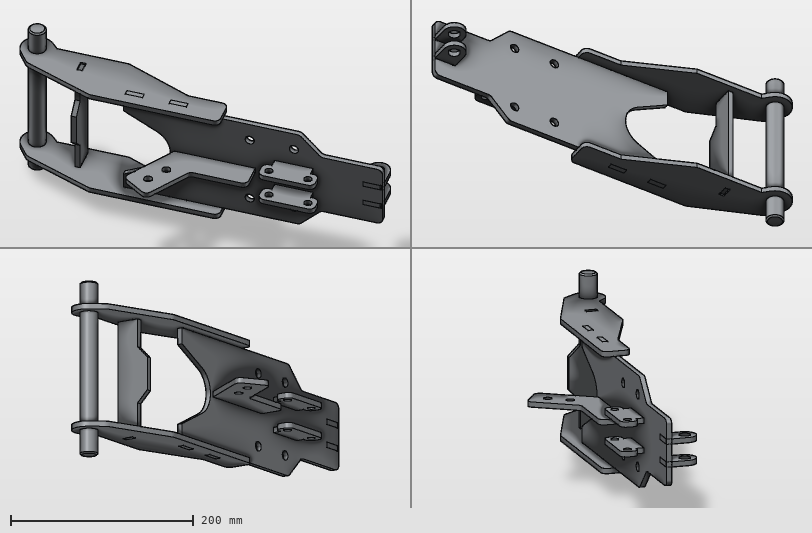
import cadquery as cq
import math


OVERALL_LENGTH = 432
PLATE = 6.0
CORNER_RADIUS = 7.0
BEND_RADIUS = 10.5
INNER_HALF = 63.0
OUTER_HALF = INNER_HALF + PLATE
SIDE_Z = INNER_HALF + PLATE / 2
TOLERANCE = 0.05

PIN_RADIUS = 10.0
PIN_LENGTH = 194.0
PIN_CHAMFER = 1.7

NOSE_RADIUS = 19.0
SHOULDER = (20.7, 6.0)
UPPER_BEND_X = 103.5
TAPER_END_X = 182.2
TAIL_TOP_Y = -25.5
TAIL_END_X = 228.5
SIDE_BOTTOM_Y = -58.0
CHIN = (-3.5, -26.8)
LOWER_BEND_X = 79.0

CROSS_X = 55.5
CROSS_TOP_Y = -1.7
CROSS_END_Y = -28.0
CROSS_MID_Y = -41.0
CROSS_END_HALF = 31.5
CROSS_MID_HALF = CROSS_END_HALF - (CROSS_END_Y - CROSS_MID_Y)
CROSS_TAB_Y = -14.5
CROSS_TAB_WIDTH = 13.0
CROSS_TAB_RECESS = 2.0

BASE_Y = -41.5
BASE_TOP_Y = BASE_Y + PLATE / 2
BASE_BOTTOM_Y = BASE_Y - PLATE / 2
BASE_START_X = 114.0
BASE_END_X = OVERALL_LENGTH - NOSE_RADIUS
MOUTH_HALF = 45.0
MOUTH_RADIUS = 28.5
MOUTH_CENTER_X = 139.5
NARROWING_X = 317.0
TAIL_HALF = 38.0
BASE_TAB_WIDTH = 20.0
BASE_TAB_XS = (126.0, 176.5)
BASE_HOLE_RADIUS = 5.0
BASE_HOLE_XS = (259.5, 310.5)
BASE_HOLE_Z = 41.0

ARM_ANGLE = math.radians(33)
ARM_HALF = 19.5
ARM_HOLE = (160.5, -99.0)
ARM_HOLE_SPACING = 25.5
ARM_HOLE_RADIUS = 4.7
ARM_END = 19.0
ARM_BOTTOM_Y = -73.5
ARM_END_X = 266.0

EAR_CENTER_X = 310.5
EAR_LENGTH = 64.8
EAR_NECK_LENGTH = 44.5
EAR_TOP_Y = -53.5
EAR_BOTTOM_Y = ARM_BOTTOM_Y
EAR_HOLE_SPACING = 45.0
EAR_HOLE_Y = -63.5
EAR_HOLE_RADIUS = 4.5
EAR_Z = 17.0

LUG_RADIUS = 13.0
LUG_X = BASE_END_X - LUG_RADIUS
LUG_Y = -19.5
LUG_HOLE_RADIUS = 6.5
LUG_TAB_WIDTH = 20.0
LUG_SLOT_PLAY = 1.7
LUG_Z = 13.0


def tangent_point(corner, center, radius, turn):
    """Point where a line from corner touches a circle, turn = +1 or -1 picking the side."""
    dx = corner[0] - center[0]
    dy = corner[1] - center[1]
    angle = math.atan2(dy, dx) + turn * math.acos(radius / math.hypot(dx, dy))
    return (center[0] + radius * math.cos(angle), center[1] + radius * math.sin(angle))


def round_corners(plate, axis, points, radius):
    """Round the edges parallel to axis ("Y" or "Z") that pass through the given points."""
    def at_corner(edge):
        center = edge.Center()
        across = center.y if axis == "Z" else center.z
        return any(math.hypot(center.x - u, across - v) < TOLERANCE for u, v in points)

    corners = [edge for edge in plate.edges("|" + axis).vals() if at_corner(edge)]
    return plate.newObject(corners).fillet(radius)


def block(x_size, y_size, z_size, center):
    return cq.Workplane("XY").box(x_size, y_size, z_size).translate(center)


def flat_plate(outline, z):
    """Extrude an XY outline to plate thickness, centred on height z."""
    return outline.extrude(PLATE / 2, both=True).translate((0, 0, z))


def holes_along_z(points, radius):
    return cq.Workplane("XY").pushPoints(points).circle(radius).extrude(OUTER_HALF, both=True)


def make_pin():
    pin = cq.Workplane("XY").circle(PIN_RADIUS).extrude(PIN_LENGTH)
    pin = pin.translate((0, 0, -PIN_LENGTH / 2))
    return pin.faces("<Z or >Z").chamfer(PIN_CHAMFER)


def make_cross_plate():
    outline = [
        (CROSS_TOP_Y, -INNER_HALF),
        (CROSS_TOP_Y, INNER_HALF),
        (CROSS_END_Y, INNER_HALF),
        (CROSS_END_Y, CROSS_END_HALF),
        (CROSS_MID_Y, CROSS_MID_HALF),
        (CROSS_MID_Y, -CROSS_MID_HALF),
        (CROSS_END_Y, -CROSS_END_HALF),
        (CROSS_END_Y, -INNER_HALF),
    ]
    plate = cq.Workplane("YZ").polyline(outline).close().extrude(PLATE / 2, both=True)
    plate = plate.translate((CROSS_X, 0, 0))
    tab_span = 2 * (OUTER_HALF - CROSS_TAB_RECESS)
    return plate.union(block(PLATE, CROSS_TAB_WIDTH, tab_span, (CROSS_X, CROSS_TAB_Y, 0)))


def make_side_plate(z):
    upper_tangent = tangent_point(SHOULDER, (0, 0), NOSE_RADIUS, 1)
    lower_tangent = tangent_point(CHIN, (0, 0), NOSE_RADIUS, -1)
    lower_bend = (LOWER_BEND_X, SIDE_BOTTOM_Y)
    tail_corners = [(TAIL_END_X, SIDE_BOTTOM_Y), (TAIL_END_X, TAIL_TOP_Y)]
    outline = (
        cq.Workplane("XY")
        .moveTo(*upper_tangent)
        .threePointArc((-NOSE_RADIUS, 0), lower_tangent)
        .lineTo(*CHIN)
        .lineTo(*lower_bend)
        .lineTo(*tail_corners[0])
        .lineTo(*tail_corners[1])
        .lineTo(TAPER_END_X, TAIL_TOP_Y)
        .lineTo(UPPER_BEND_X, SHOULDER[1])
        .lineTo(*SHOULDER)
        .close()
    )
    plate = flat_plate(outline, z)
    plate = round_corners(plate, "Z", tail_corners, CORNER_RADIUS)
    plate = round_corners(plate, "Z", [CHIN, lower_bend], BEND_RADIUS)
    plate = plate.cut(holes_along_z([(0, 0)], PIN_RADIUS))
    plate = plate.cut(block(PLATE, CROSS_TAB_WIDTH, 2 * OUTER_HALF, (CROSS_X, CROSS_TAB_Y, 0)))
    return plate.cut(base_tabs())


def base_tabs():
    """Tabs of the base plate, filling the slots of both side plates."""
    tabs = cq.Workplane("XY")
    for x in BASE_TAB_XS:
        for z in (-SIDE_Z, SIDE_Z):
            tabs = tabs.add(block(BASE_TAB_WIDTH, PLATE, PLATE, (x, BASE_Y, z)))
    return tabs.combine()


def make_base_plate():
    mouth_corner = (BASE_START_X, MOUTH_HALF)
    touch_x, touch_z = tangent_point(mouth_corner, (MOUTH_CENTER_X, 0), MOUTH_RADIUS, -1)
    narrow_x = NARROWING_X + INNER_HALF - TAIL_HALF
    outline = (
        cq.Workplane("XZ")
        .moveTo(BASE_START_X, INNER_HALF)
        .lineTo(*mouth_corner)
        .lineTo(touch_x, touch_z)
        .threePointArc((MOUTH_CENTER_X + MOUTH_RADIUS, 0), (touch_x, -touch_z))
        .lineTo(BASE_START_X, -MOUTH_HALF)
        .lineTo(BASE_START_X, -INNER_HALF)
        .lineTo(NARROWING_X, -INNER_HALF)
        .lineTo(narrow_x, -TAIL_HALF)
        .lineTo(BASE_END_X, -TAIL_HALF)
        .lineTo(BASE_END_X, TAIL_HALF)
        .lineTo(narrow_x, TAIL_HALF)
        .lineTo(NARROWING_X, INNER_HALF)
        .close()
    )
    plate = outline.extrude(PLATE / 2, both=True).translate((0, BASE_Y, 0))
    upper_corners = [(NARROWING_X, INNER_HALF), (narrow_x, TAIL_HALF), (BASE_END_X, TAIL_HALF)]
    lower_corners = [(x, -z) for x, z in upper_corners]
    plate = round_corners(plate, "Y", upper_corners + lower_corners, CORNER_RADIUS)
    plate = plate.union(base_tabs())

    hole_points = [(x, z) for x in BASE_HOLE_XS for z in (-BASE_HOLE_Z, BASE_HOLE_Z)]
    holes = cq.Workplane("XZ").pushPoints(hole_points).circle(BASE_HOLE_RADIUS)
    plate = plate.cut(holes.extrude(PLATE, both=True).translate((0, BASE_Y, 0)))

    slot_x = LUG_X + LUG_SLOT_PLAY / 2
    for z in (-LUG_Z, LUG_Z):
        plate = plate.cut(block(LUG_TAB_WIDTH + LUG_SLOT_PLAY, PLATE, PLATE, (slot_x, BASE_Y, z)))
    return plate


def arm_point(along, across):
    """Point on the arm: distance from ARM_HOLE towards the free end, and across towards +X."""
    x = ARM_HOLE[0] - along * math.sin(ARM_ANGLE) + across * math.cos(ARM_ANGLE)
    y = ARM_HOLE[1] - along * math.cos(ARM_ANGLE) - across * math.sin(ARM_ANGLE)
    return (x, y)


def arm_edge_at(y, across):
    """Point where an edge of the arm reaches height y."""
    start_x, start_y = arm_point(0, across)
    return (start_x + (y - start_y) * math.tan(ARM_ANGLE), y)


def make_arm_bracket():
    corners = [
        arm_point(ARM_END, -ARM_HALF),
        arm_point(ARM_END, ARM_HALF),
        arm_edge_at(ARM_BOTTOM_Y, ARM_HALF),
        (ARM_END_X, ARM_BOTTOM_Y),
    ]
    roots = [(ARM_END_X, BASE_BOTTOM_Y), arm_edge_at(BASE_BOTTOM_Y, -ARM_HALF)]
    bracket = flat_plate(cq.Workplane("XY").polyline(corners + roots).close(), 0)
    bracket = round_corners(bracket, "Z", corners, CORNER_RADIUS)
    return bracket.cut(holes_along_z([ARM_HOLE, arm_point(-ARM_HOLE_SPACING, 0)], ARM_HOLE_RADIUS))


def make_eared_bracket(z):
    ear_height = EAR_TOP_Y - EAR_BOTTOM_Y
    ear_y = (EAR_TOP_Y + EAR_BOTTOM_Y) / 2
    neck_height = BASE_BOTTOM_Y - ear_y
    neck_y = ear_y + neck_height / 2
    bracket = block(EAR_LENGTH, ear_height, PLATE, (EAR_CENTER_X, ear_y, z))
    bracket = bracket.edges("|Z").fillet(CORNER_RADIUS)
    bracket = bracket.union(block(EAR_NECK_LENGTH, neck_height, PLATE, (EAR_CENTER_X, neck_y, z)))
    hole_points = [(EAR_CENTER_X + side * EAR_HOLE_SPACING / 2, EAR_HOLE_Y) for side in (-1, 1)]
    return bracket.cut(holes_along_z(hole_points, EAR_HOLE_RADIUS))


def make_lug(z):
    outline = (
        cq.Workplane("XY")
        .moveTo(LUG_X - LUG_RADIUS, BASE_TOP_Y)
        .lineTo(LUG_X - LUG_RADIUS, LUG_Y)
        .threePointArc((LUG_X, LUG_Y + LUG_RADIUS), (LUG_X + LUG_RADIUS, LUG_Y))
        .lineTo(LUG_X + LUG_RADIUS, BASE_TOP_Y)
        .close()
    )
    lug = flat_plate(outline, z)
    lug = lug.union(block(LUG_TAB_WIDTH, PLATE, PLATE, (LUG_X, BASE_Y, z)))
    return lug.cut(holes_along_z([(LUG_X, LUG_Y)], LUG_HOLE_RADIUS))


pin = make_pin()
cross_plate = make_cross_plate()
base_plate = make_base_plate()
arm_bracket = make_arm_bracket()

side_plates = []
eared_brackets = []
lugs = []
for mirror in (-1, 1):
    side_plates.append(make_side_plate(mirror * SIDE_Z))
    eared_brackets.append(make_eared_bracket(mirror * EAR_Z))
    lugs.append(make_lug(mirror * LUG_Z))

bodies = [pin, cross_plate, base_plate, arm_bracket, *side_plates, *eared_brackets, *lugs]
result = cq.Compound.makeCompound([body.solids().val() for body in bodies])